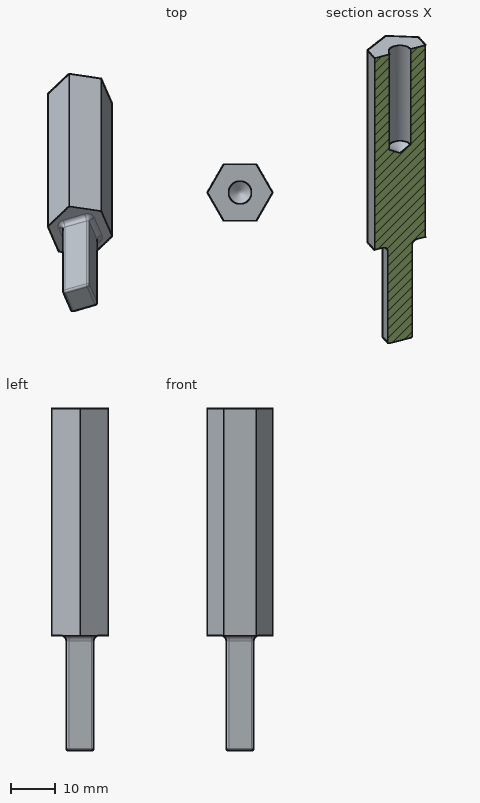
import cadquery as cq
import math

total_length = 76.55
body_length = 50.8
across_flats = 12.7
across_corners = across_flats / math.cos(math.pi / 6)

shank_width = 6.2
shank_edge_radius = 0.5
root_radius = 1.15

hole_diameter = 5.1
hole_depth = 25.25
drill_point_angle = 118.0

top_z = total_length / 2
shoulder_z = top_z - body_length
shank_length = total_length - body_length


def hex_body():
    """Hexagonal bar with two corners on the X axis."""
    return (
        cq.Workplane("XY", origin=(0, 0, shoulder_z))
        .polygon(6, across_corners)
        .extrude(body_length)
    )


def square_shank():
    """Square bar below the shoulder, rounded along its sides and around its end."""
    return (
        cq.Workplane("XY", origin=(0, 0, shoulder_z))
        .rect(shank_width, shank_width)
        .extrude(-shank_length)
        .edges("|Z or <Z")
        .fillet(shank_edge_radius)
    )


def fillet_root(part):
    """Blend the shank into the flat shoulder of the body."""
    reach = shank_width / 2
    around_root = cq.selectors.BoxSelector(
        (-reach, -reach, shoulder_z - root_radius / 2),
        (reach, reach, shoulder_z + root_radius / 2),
    )
    return part.edges(around_root).fillet(root_radius)


def drilled_hole():
    """Solid of revolution with the shape of the drilled hole."""
    radius = hole_diameter / 2
    cone_height = radius / math.tan(math.radians(drill_point_angle / 2))
    floor_z = top_z - hole_depth
    return (
        cq.Workplane("XZ")
        .moveTo(0, top_z)
        .lineTo(radius, top_z)
        .lineTo(radius, floor_z)
        .lineTo(0, floor_z - cone_height)
        .close()
        .revolve(360, (0, 0, 0), (0, 1, 0))
    )


result = fillet_root(hex_body().union(square_shank())).cut(drilled_hole())